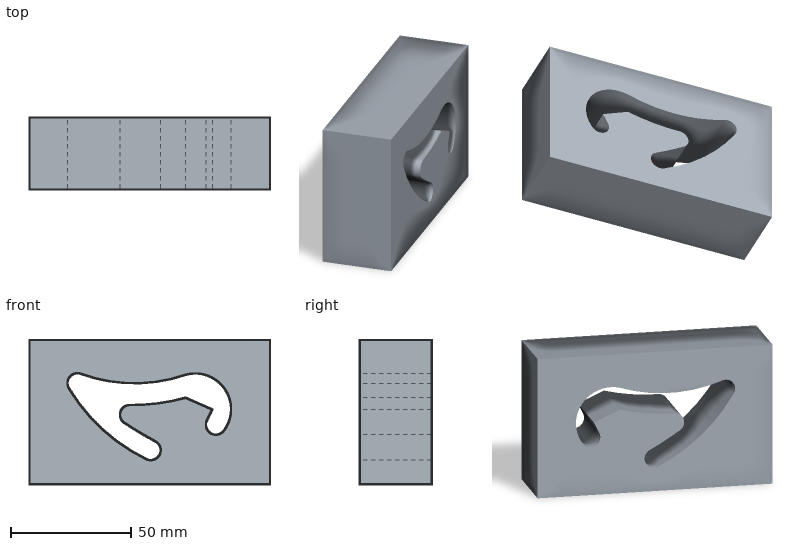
import cadquery as cq
import math

LENGTH = 100.0
DEPTH = 30.0
HEIGHT = 60.0

END_RADIUS = 4.1
LEFT_TIP = (-30.0, 12.0)
LOWER_END = (0.4, -15.8)
INNER_NOSE = (-8.3, -1.1)

BEND_RADIUS = 14.8
BEND_CENTER = (18.9, 1.2)
HOOK_ANGLE = -37.0

HOOK_CORNER = (26.0, 1.1)
PEAK = (14.9, 6.0)

TOP_EDGE_MIDDLE = (-6.9, 11.9)
INNER_TOP_EDGE_MIDDLE = (3.5, 3.7)
INNER_LOWER_EDGE_MIDDLE = (-5.2, -7.9)
OUTER_LOWER_EDGE_MIDDLE = (-19.1, -7.6)


def polar(center, radius, angle):
    """Point on a circle, with the angle in degrees from +X."""
    turn = math.radians(angle)
    return (center[0] + radius * math.cos(turn), center[1] + radius * math.sin(turn))


def add_round(outline, center, radius, start, end):
    """Continue the outline around a circle from the start to the end angle."""
    middle = (start + end) / 2
    return outline.threePointArc(polar(center, radius, middle), polar(center, radius, end))


LEFT_TIP_START, LEFT_TIP_END = 215.0, 75.0
BEND_START = 105.0
HOOK_END = -207.0
NOSE_START, NOSE_END = 94.0, 230.0
LOWER_END_START, LOWER_END_END = 65.0, -115.0

hook_center = polar(BEND_CENTER, BEND_RADIUS - END_RADIUS, HOOK_ANGLE)


def make_opening():
    """Branching cam-shaped opening that runs through the full depth."""
    left_tip_start = polar(LEFT_TIP, END_RADIUS, LEFT_TIP_START)
    outline = cq.Workplane("XZ").moveTo(*left_tip_start)

    outline = add_round(outline, LEFT_TIP, END_RADIUS, LEFT_TIP_START, LEFT_TIP_END)
    outline = outline.threePointArc(TOP_EDGE_MIDDLE, polar(BEND_CENTER, BEND_RADIUS, BEND_START))
    outline = add_round(outline, BEND_CENTER, BEND_RADIUS, BEND_START, HOOK_ANGLE)
    outline = add_round(outline, hook_center, END_RADIUS, HOOK_ANGLE, HOOK_END)

    outline = outline.lineTo(*HOOK_CORNER).lineTo(*PEAK)
    outline = outline.threePointArc(INNER_TOP_EDGE_MIDDLE, polar(INNER_NOSE, END_RADIUS, NOSE_START))
    outline = add_round(outline, INNER_NOSE, END_RADIUS, NOSE_START, NOSE_END)
    outline = outline.threePointArc(
        INNER_LOWER_EDGE_MIDDLE, polar(LOWER_END, END_RADIUS, LOWER_END_START)
    )

    outline = add_round(outline, LOWER_END, END_RADIUS, LOWER_END_START, LOWER_END_END)
    outline = outline.threePointArc(OUTER_LOWER_EDGE_MIDDLE, left_tip_start)
    return outline.close().extrude(DEPTH / 2, both=True)


result = cq.Workplane("XY").box(LENGTH, DEPTH, HEIGHT).cut(make_opening())